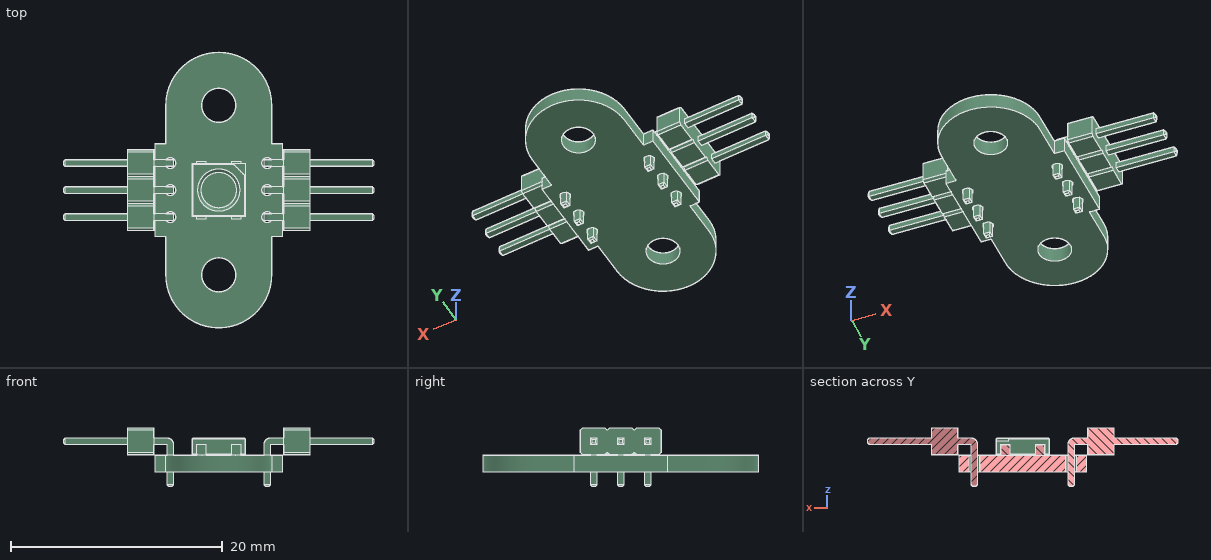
import cadquery as cq

board_thickness = 1.6
board_length = 26.0
lobe_diameter = 10.0
lobe_center_y = (board_length - lobe_diameter) / 2
mount_hole_diameter = 3.2
middle_width = 12.05
middle_length = 8.78

pin_count = 3
pitch = 2.55
pin_size = 0.65
pin_tip_taper = 0.16
pin_reach_x = 14.65
pin_row_x = 4.57
pin_tail = 1.35
pin_bend_radius = pin_size
pin_hole_diameter = 1.0
housing_inner_x = 6.12
housing_width = 2.5
housing_height = pitch
housing_chamfer = 0.23
housing_clearance = 0.03

led_size = 5.0
led_height = 1.52
led_clearance = 0.1
led_edge_chamfer = 0.1
led_corner_leg = 1.17
led_corner_depth = 0.3
bowl_top_diameter = 3.98
bowl_floor_diameter = 3.35
bowl_depth = 0.3
lead_width = 0.9
lead_height = 1.0
lead_thickness = 0.2
lead_center_x = 1.65

pin_axis_z = board_thickness + housing_clearance + housing_height / 2
pin_rows_y = [(i - (pin_count - 1) / 2) * pitch for i in range(pin_count)]


def make_board():
    """Board with its mounting holes and clearance holes for both pin rows."""
    lobes = cq.Workplane("XY").slot2D(board_length, lobe_diameter, 90).extrude(board_thickness)
    middle = cq.Workplane("XY").rect(middle_width, middle_length).extrude(board_thickness)
    mount_points = [(0, -lobe_center_y), (0, lobe_center_y)]
    pin_points = [(side * pin_row_x, y) for side in (-1, 1) for y in pin_rows_y]
    return (
        lobes.union(middle)
        .faces(">Z").workplane(origin=(0, 0, board_thickness))
        .pushPoints(mount_points).hole(mount_hole_diameter)
        .pushPoints(pin_points).hole(pin_hole_diameter)
    )


def make_led():
    """Square package with a tapered bowl, a notched corner and four leads it stands on."""
    led_bottom = board_thickness + led_clearance
    led_top = led_bottom + led_height
    half = led_size / 2
    body = (
        cq.Workplane("XY", origin=(0, 0, led_bottom))
        .rect(led_size, led_size).extrude(led_height)
        .faces(">Z").chamfer(led_edge_chamfer)
    )

    bowl = (
        cq.Workplane("XY", origin=(0, 0, led_top)).circle(bowl_top_diameter / 2)
        .workplane(offset=-bowl_depth).circle(bowl_floor_diameter / 2)
        .loft()
    )
    corner_notch = (
        cq.Workplane("XY", origin=(0, 0, led_top))
        .moveTo(half, half)
        .lineTo(half - led_corner_leg, half)
        .lineTo(half, half - led_corner_leg)
        .close()
        .extrude(-led_corner_depth)
    )
    body = body.cut(bowl).cut(corner_notch)

    lead_points = [
        (side_x * lead_center_x, side_y * (half + lead_thickness / 2))
        for side_x in (-1, 1) for side_y in (-1, 1)
    ]
    leads = (
        cq.Workplane("XY", origin=(0, 0, board_thickness))
        .pushPoints(lead_points).rect(lead_width, lead_thickness).extrude(lead_height)
    )
    return body.union(leads)


def make_pin(y):
    """Square pin bent at a right angle, with tapered ends, pointing along +X."""
    half = pin_size / 2
    tail_end_z = -pin_tail
    return (
        cq.Workplane("XZ", origin=(0, y + half, 0))
        .moveTo(pin_row_x - half, tail_end_z)
        .lineTo(pin_row_x + half, tail_end_z)
        .lineTo(pin_row_x + half, pin_axis_z - half)
        .lineTo(pin_reach_x, pin_axis_z - half)
        .lineTo(pin_reach_x, pin_axis_z + half)
        .lineTo(pin_row_x - half, pin_axis_z + half)
        .close()
        .extrude(pin_size)
        .faces("<X").edges(">Z").fillet(pin_bend_radius)
        .faces(">X or <Z").chamfer(pin_tip_taper)
    )


def make_housing_cell(y):
    """One pin's share of the housing: a block with its four long edges chamfered."""
    return (
        cq.Workplane("XY")
        .box(housing_width, pitch, housing_height)
        .edges("|X").chamfer(housing_chamfer)
        .translate((housing_inner_x + housing_width / 2, y, pin_axis_z))
    )


def make_header(turn):
    """Housing and its moulded-in pins as one solid, turned about Z by the given angle."""
    header = make_housing_cell(pin_rows_y[0])
    for y in pin_rows_y[1:]:
        header = header.union(make_housing_cell(y))
    for y in pin_rows_y:
        header = header.union(make_pin(y))
    return header.rotate((0, 0, 0), (0, 0, 1), turn)


board = make_board()
led = make_led()
headers = [make_header(turn) for turn in (0, 180)]

result = cq.Compound.makeCompound([board.val(), led.val(), *[header.val() for header in headers]])